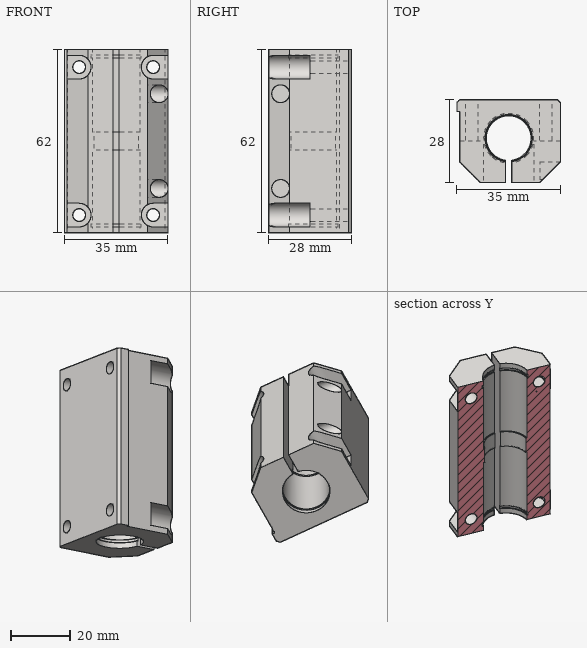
import cadquery as cq

WIDTH = 35.0
HEIGHT = 28.0
LENGTH = 62.0
BORE_TO_BACK = 13.0

LIP_STEP = 0.9
LIP_HEIGHT = 4.0
BACK_CHAMFER = 1.0
FRONT_CHAMFER = 7.0
SLIT_WIDTH = 2.0

SEAT_DIAMETER = 16.0
LAND_DIAMETER = 15.1
LAND_LENGTH = 6.0
GROOVE_DIAMETER = 16.85
GROOVE_WIDTH = 1.0
GROOVE_OFFSET = 2.0

MOUNT_PITCH_X = 25.0
MOUNT_PITCH_Z = 50.0
MOUNT_HOLE_DIAMETER = 4.2
POCKET_WIDTH = 8.0
POCKET_FLOOR_THICKNESS = 14.0

CLAMP_DIAMETER = 6.0
CLAMP_PITCH_Z = 32.0
CLAMP_TO_FRONT = 4.0
CLAMP_DEPTH = FRONT_CHAMFER

RIGHT = WIDTH / 2
LEFT = -WIDTH / 2
BODY_LEFT = LEFT + LIP_STEP
BACK = BORE_TO_BACK
FRONT = BACK - HEIGHT


def make_block():
    """Extrude the chamfered cross-section with its reference lip."""
    outline = [
        (BODY_LEFT + FRONT_CHAMFER, FRONT),
        (RIGHT - FRONT_CHAMFER, FRONT),
        (RIGHT, FRONT + FRONT_CHAMFER),
        (RIGHT, BACK - BACK_CHAMFER),
        (RIGHT - BACK_CHAMFER, BACK),
        (LEFT + BACK_CHAMFER, BACK),
        (LEFT, BACK - BACK_CHAMFER),
        (LEFT, BACK - LIP_HEIGHT),
        (BODY_LEFT, BACK - LIP_HEIGHT),
        (BODY_LEFT, FRONT + FRONT_CHAMFER),
    ]
    return cq.Workplane("XY").polyline(outline).close().extrude(LENGTH / 2, both=True)


def z_cylinder(diameter, z_start, length):
    """Cylinder on the bore axis, running up from z_start."""
    return cq.Workplane("XY").workplane(offset=z_start).circle(diameter / 2).extrude(length)


def make_bore():
    """Stepped bore: narrow land through, seats from both ends, ring grooves."""
    seat_length = (LENGTH - LAND_LENGTH) / 2
    groove_top = LENGTH / 2 - GROOVE_OFFSET
    bore = z_cylinder(LAND_DIAMETER, -LENGTH / 2, LENGTH)
    bore = bore.union(z_cylinder(SEAT_DIAMETER, -LENGTH / 2, seat_length))
    bore = bore.union(z_cylinder(SEAT_DIAMETER, LAND_LENGTH / 2, seat_length))
    bore = bore.union(z_cylinder(GROOVE_DIAMETER, groove_top - GROOVE_WIDTH, GROOVE_WIDTH))
    return bore.union(z_cylinder(GROOVE_DIAMETER, -groove_top, GROOVE_WIDTH))


def make_slit():
    """Clamping slit from the bore axis out through the -Y face."""
    slit_depth = -FRONT
    return cq.Workplane("XY").box(SLIT_WIDTH, slit_depth, LENGTH).translate((0, FRONT / 2, 0))


def make_mount(side, z):
    """Through hole and round-ended pocket, open towards the given X side (-1 or +1)."""
    x = side * MOUNT_PITCH_X / 2
    pocket_floor = BACK - POCKET_FLOOR_THICKNESS
    pocket_depth = pocket_floor - FRONT
    open_length = RIGHT - MOUNT_PITCH_X / 2
    floor_plane = cq.Workplane("XZ", origin=(x, pocket_floor, z))
    pocket = floor_plane.circle(POCKET_WIDTH / 2).extrude(pocket_depth)
    opening_plane = floor_plane.center(side * open_length / 2, 0)
    opening = opening_plane.rect(open_length, POCKET_WIDTH).extrude(pocket_depth)
    hole = cq.Workplane("XZ", origin=(x, BACK, z)).circle(MOUNT_HOLE_DIAMETER / 2).extrude(HEIGHT)
    return pocket.union(opening).union(hole)


def make_clamp_recess(z):
    """Flat-bottomed recess along X that breaks out through the front chamfer."""
    start = (RIGHT - CLAMP_DEPTH, FRONT + CLAMP_TO_FRONT, z)
    return cq.Workplane("YZ", origin=start).circle(CLAMP_DIAMETER / 2).extrude(CLAMP_DEPTH)


result = make_block().cut(make_bore()).cut(make_slit())
for end in (-1, 1):
    result = result.cut(make_clamp_recess(end * CLAMP_PITCH_Z / 2))
    for side in (-1, 1):
        result = result.cut(make_mount(side, end * MOUNT_PITCH_Z / 2))